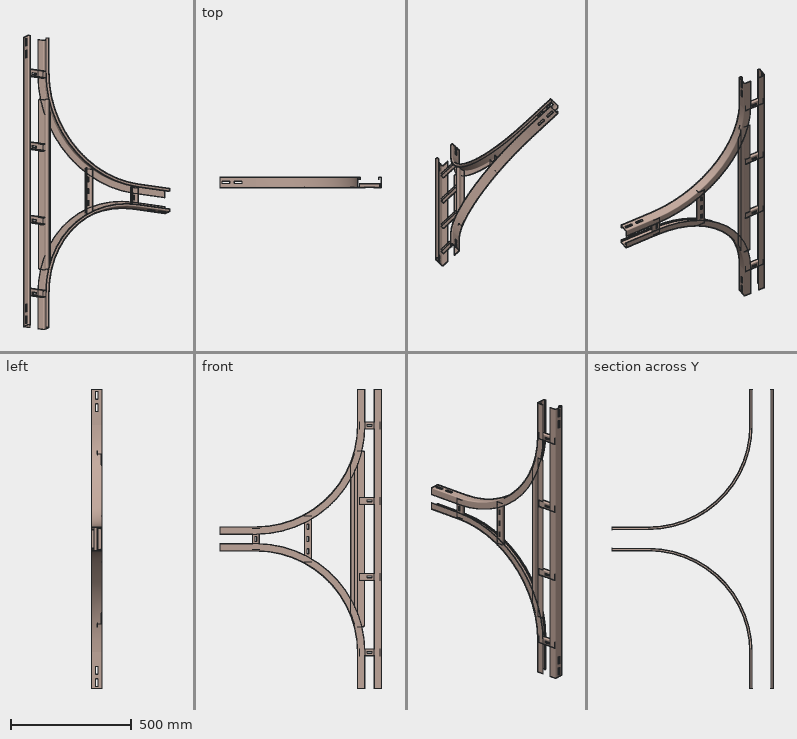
import cadquery as cq
import math

length = 1240.0
width = 670.0
height = 45.0
branch_width = 100.0
tail_length = 150.0

rail_sheet = 2.2
rail_inner_radius = 1.5
rail_bend = rail_inner_radius + rail_sheet
front_flange = 31.0
back_flange = 12.0
lip_depth = 10.0

web_slot_length = 31.0
web_slot_width = 9.0
web_slot_from_end = 25.0
web_slot_pitch = 51.0

rung_sheet = 1.5
rung_inner_radius = 1.5
rung_width = 30.0
rung_depth = 15.0
rung_slot_length = 20.0
rung_slot_width = 6.0
rung_slot_pitch = 51.0

hat_depth = 19.0
hat_half_length = 365.0
hat_left = 207.0
groove_left = 222.0
groove_right = 235.0
hat_right = 264.0
hat_corner_radius = 6.0

branch_rung_from_end = 149.0
throat_rung_x = 30.0
throat_rung_length = 191.0
rung_end_gap = 7.0
middle_rung_z = 157.0

branch_end = -width / 2
through_web = width / 2
branch_web = branch_width / 2
rail_end = length / 2
arc_x = branch_end + tail_length
arc_z = rail_end - tail_length
arc_radius = arc_z - branch_web
inner_web = arc_x + arc_radius
cross_rung_left = inner_web + rung_end_gap
cross_rung_length = through_web - rung_end_gap - cross_rung_left
front_seat = -height / 2 + rail_sheet


def strip_edge(corners, offset, bend_radius):
    """One edge of a bent strip, as (start, middle, end) of every bend plus both end points.

    `corners` is the centre line with square corners, `offset` the distance to its left.
    """
    runs = [(b - a).normalized() for a, b in zip(corners, corners[1:])]
    lefts = [cq.Vector(-run.y, run.x) for run in runs]
    bends = []
    for i in range(1, len(corners) - 1):
        run_in, run_out = runs[i - 1], runs[i]
        left_in, left_out = lefts[i - 1], lefts[i]
        turn = run_in.cross(run_out).z
        centre = corners[i] + (run_out - run_in) * bend_radius
        reach = turn * bend_radius - offset
        bends.append((
            centre - left_in * reach,
            centre - (left_in + left_out).normalized() * reach,
            centre - left_out * reach,
        ))
    return corners[0] + lefts[0] * offset, bends, corners[-1] + lefts[-1] * offset


def bent_strip(plane, corners, sheet, inner_radius):
    """Closed outline of a sheet strip with right-angled, rounded bends."""
    line = [cq.Vector(*corner) for corner in corners]
    bend_radius = inner_radius + sheet / 2
    start, bends, end = strip_edge(line, sheet / 2, bend_radius)
    back_start, back_bends, back_end = strip_edge(line, -sheet / 2, bend_radius)
    outline = cq.Workplane(plane).moveTo(start.x, start.y)
    for first, middle, last in bends:
        outline = outline.lineTo(first.x, first.y).threePointArc(middle.toTuple()[:2], last.toTuple()[:2])
    outline = outline.lineTo(end.x, end.y).lineTo(back_end.x, back_end.y)
    for first, middle, last in reversed(back_bends):
        outline = outline.lineTo(last.x, last.y).threePointArc(middle.toTuple()[:2], first.toTuple()[:2])
    return outline.lineTo(back_start.x, back_start.y).close()


def rail_section(plane):
    """Rail outline: local x runs from the web to the inside, local y is +Y."""
    half = rail_sheet / 2
    front = -height / 2 + half
    back = height / 2 - half
    lip = back_flange - half
    corners = [
        (front_flange, front),
        (half, front),
        (half, back),
        (lip, back),
        (lip, height / 2 - lip_depth),
    ]
    return bent_strip(plane, corners, rail_sheet, rail_inner_radius)


def web_slots(size_x, size_z, x, z, step_x, step_z):
    """Two slot cutters, the second one step further from the rail end."""
    cutters = cq.Workplane("XY")
    for i in range(2):
        place = (x + i * step_x, 0, z + i * step_z)
        cutters = cutters.add(cq.Workplane("XY").box(size_x, web_slot_width, size_z).translate(place))
    return cutters.combine()


def upright_slots(web_x, side):
    """Slots near the upper (side 1) or lower (side -1) end of a web that runs along Z."""
    first_z = side * (rail_end - web_slot_from_end)
    return web_slots(2 * rail_bend, web_slot_length, web_x, first_z, 0, -side * web_slot_pitch)


def make_curved_rail():
    """Upper curved rail: branch tail along X, quarter bend, then a tail along +Z."""
    diagonal = arc_radius * math.sqrt(0.5)
    path = (
        cq.Workplane("XZ")
        .moveTo(branch_end, branch_web)
        .lineTo(arc_x, branch_web)
        .threePointArc((arc_x + diagonal, arc_z - diagonal), (inner_web, arc_z))
        .lineTo(inner_web, rail_end)
    )
    start = cq.Plane(origin=(branch_end, 0, branch_web), xDir=(0, 0, -1), normal=(1, 0, 0))
    rail = rail_section(start).sweep(path, clean=False)
    first_x = branch_end + web_slot_from_end
    branch_slots = web_slots(web_slot_length, 2 * rail_bend, first_x, branch_web, web_slot_pitch, 0)
    rail = rail.cut(branch_slots, clean=False)
    return rail.cut(upright_slots(inner_web, 1), clean=False)


def make_through_rail():
    """Straight rail over the full length, opening towards -X."""
    top = cq.Plane(origin=(through_web, 0, rail_end), xDir=(-1, 0, 0), normal=(0, 0, -1))
    rail = rail_section(top).extrude(length)
    for side in (1, -1):
        rail = rail.cut(upright_slots(through_web, side))
    return rail


def make_rung(rung_length, slot_places):
    """Rung along +X from the origin, with a slot in its front at each of the given places."""
    half = rung_sheet / 2
    side = rung_width / 2 - half
    tip = front_seat + rung_depth
    corners = [(-side, tip), (-side, front_seat + half), (side, front_seat + half), (side, tip)]
    end = cq.Plane(origin=(0, 0, 0), xDir=(0, 0, -1), normal=(1, 0, 0))
    rung = bent_strip(end, corners, rung_sheet, rung_inner_radius).extrude(rung_length)
    for place in slot_places:
        slot = cq.Workplane("XY").box(rung_slot_length, 2 * rung_sheet, rung_slot_width)
        rung = rung.cut(slot.translate((place, front_seat, 0)))
    return rung


def make_upright_rung(x, rung_length, slot_count):
    """Rung along Z, centred on the branch axis, with evenly spaced slots."""
    first = rung_length / 2 - (slot_count - 1) / 2 * rung_slot_pitch
    rung = make_rung(rung_length, [first + i * rung_slot_pitch for i in range(slot_count)])
    upright = rung.rotate((0, 0, 0), (0, 1, 0), -90)
    return upright.translate((x, 0, -rung_length / 2))


def make_cross_rungs():
    """Four rungs along X, from inside the curved rails to the through rail."""
    rung = make_rung(cross_rung_length, [cross_rung_length / 2])
    places = (-arc_z, -middle_rung_z, middle_rung_z, arc_z)
    return [rung.translate((cross_rung_left, 0, z)) for z in places]


def make_hat():
    """Hat section along Z, trimmed to the curved rails and notched for the middle cross rungs."""
    half = rung_sheet / 2
    front = front_seat + half
    floor = front_seat + hat_depth - half
    corners = [
        (hat_left, front),
        (groove_left - half, front),
        (groove_left - half, floor),
        (groove_right + half, floor),
        (groove_right + half, front),
        (hat_right, front),
    ]
    hat = bent_strip("XY", corners, rung_sheet, rung_inner_radius).extrude(hat_half_length, both=True)
    hat = hat.faces(">X").edges("|Y").fillet(hat_corner_radius)
    for side in (1, -1):
        trim = cq.Workplane("XZ").center(arc_x, side * arc_z).circle(arc_radius + rail_bend)
        hat = hat.cut(trim.extrude(height, both=True))
        notch = cq.Workplane("XY").box(cross_rung_length, 2 * rung_depth, rung_width)
        notch_x = cross_rung_left + cross_rung_length / 2
        hat = hat.cut(notch.translate((notch_x, front_seat, side * middle_rung_z)))
    return hat


upper_rail = make_curved_rail()
lower_rail = upper_rail.mirror("XY")
through_rail = make_through_rail()
branch_rung = make_upright_rung(branch_end + branch_rung_from_end, branch_width - 2 * rung_end_gap, 1)
throat_rung = make_upright_rung(throat_rung_x, throat_rung_length, 3)
cross_rungs = make_cross_rungs()
hat = make_hat()

bodies = [upper_rail, lower_rail, through_rail, branch_rung, throat_rung, *cross_rungs, hat]
result = cq.Compound.makeCompound([body.solids().val() for body in bodies])